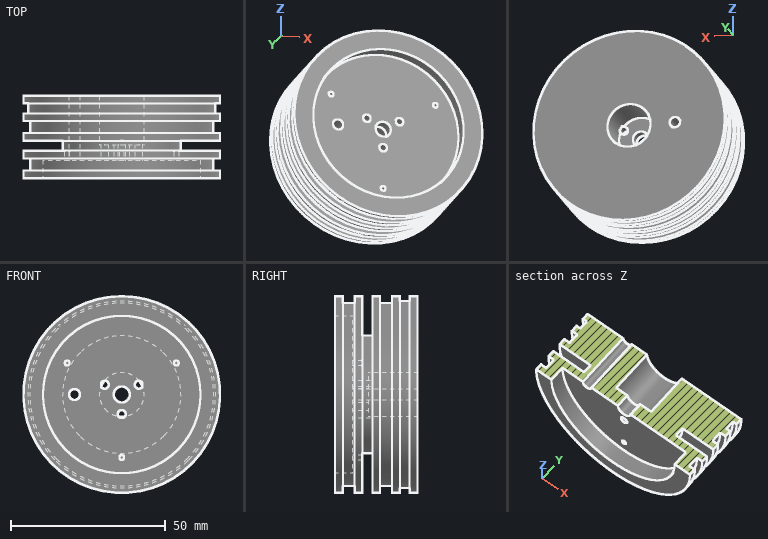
import cadquery as cq
import math

INCH = 25.4

OUTER_DIAMETER = 2.5 * INCH
FLANGE_WIDTH = 0.1 * INCH
WIDE_GROOVE_WIDTH = 0.15 * INCH
NARROW_GROOVE_WIDTH = 0.125 * INCH
WIDE_GROOVE_DIAMETER = 2.33 * INCH
DEEP_GROOVE_DIAMETER = 1.5 * INCH
SHALLOW_GROOVE_DIAMETER = 2.38 * INCH
GROOVES = [
    (WIDE_GROOVE_WIDTH, WIDE_GROOVE_DIAMETER),
    (NARROW_GROOVE_WIDTH, DEEP_GROOVE_DIAMETER),
    (WIDE_GROOVE_WIDTH, WIDE_GROOVE_DIAMETER),
    (NARROW_GROOVE_WIDTH, SHALLOW_GROOVE_DIAMETER),
]
FLANGE_COUNT = len(GROOVES) + 1
BODY_WIDTH = FLANGE_COUNT * FLANGE_WIDTH + sum(width for width, _ in GROOVES)
FRONT_Y = -BODY_WIDTH / 2
BACK_Y = BODY_WIDTH / 2

POCKET_DIAMETER = 2.0 * INCH
POCKET_DEPTH = 0.225 * INCH
POCKET_FLOOR_Y = FRONT_Y + POCKET_DEPTH

CENTRE_HOLE_DIAMETER = 0.201 * INCH
BACK_BORE_DIAMETER = 0.5625 * INCH
BORE_FLOOR_THICKNESS = 0.2 * INCH
BORE_FLOOR_Y = POCKET_FLOOR_Y + BORE_FLOOR_THICKNESS

OFFSET_HOLE_DIAMETER = 0.136 * INCH
OFFSET_HOLE_RADIUS = 0.6 * INCH

HOLE_ANGLES = (30, 150, 270)
DRILL_POINT_ANGLE = 118
SCREW_HOLE_DIAMETER = 0.1 * INCH
SCREW_HOLE_DEPTH = 0.25 * INCH
SCREW_CIRCLE_RADIUS = 0.25 * INCH
PIN_HOLE_DIAMETER = 0.0625 * INCH
PIN_HOLE_DEPTH = 0.2 * INCH
PIN_CIRCLE_RADIUS = 0.8 * INCH


def cylinder(diameter, start_y, length, x=0, z=0):
    """Cylinder running along +Y from start_y."""
    return cq.Workplane(
        cq.Solid.makeCylinder(diameter / 2, length, cq.Vector(x, start_y, z), cq.Vector(0, 1, 0))
    )


def drilled_hole(diameter, start_y, depth, x, z):
    """Straight hole of the given depth plus the cone left by the drill point."""
    radius = diameter / 2
    point_length = radius / math.tan(math.radians(DRILL_POINT_ANGLE / 2))
    point = cq.Solid.makeCone(
        radius, 0, point_length, cq.Vector(x, start_y + depth, z), cq.Vector(0, 1, 0)
    )
    return cylinder(diameter, start_y, depth, x, z).union(cq.Workplane(point))


def cut_grooves(body):
    groove_y = FRONT_Y + FLANGE_WIDTH
    for width, diameter in GROOVES:
        ring = cylinder(OUTER_DIAMETER, groove_y, width).cut(cylinder(diameter, groove_y, width))
        body = body.cut(ring)
        groove_y += width + FLANGE_WIDTH
    return body


def cut_bores(body):
    body = body.cut(cylinder(POCKET_DIAMETER, FRONT_Y, POCKET_DEPTH))
    body = body.cut(cylinder(CENTRE_HOLE_DIAMETER, FRONT_Y, BODY_WIDTH))
    body = body.cut(cylinder(BACK_BORE_DIAMETER, BORE_FLOOR_Y, BACK_Y - BORE_FLOOR_Y))
    return body.cut(cylinder(OFFSET_HOLE_DIAMETER, FRONT_Y, BODY_WIDTH, x=-OFFSET_HOLE_RADIUS))


def cut_hole_circle(body, diameter, depth, circle_radius):
    for degrees in HOLE_ANGLES:
        angle = math.radians(degrees)
        x = circle_radius * math.cos(angle)
        z = circle_radius * math.sin(angle)
        body = body.cut(drilled_hole(diameter, POCKET_FLOOR_Y, depth, x, z))
    return body


result = cylinder(OUTER_DIAMETER, FRONT_Y, BODY_WIDTH)
result = cut_grooves(result)
result = cut_bores(result)
result = cut_hole_circle(result, SCREW_HOLE_DIAMETER, SCREW_HOLE_DEPTH, SCREW_CIRCLE_RADIUS)
result = cut_hole_circle(result, PIN_HOLE_DIAMETER, PIN_HOLE_DEPTH, PIN_CIRCLE_RADIUS)